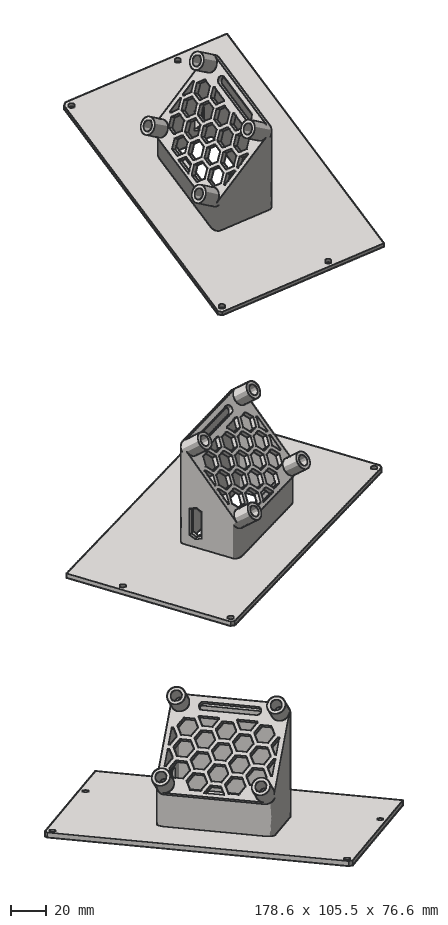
import cadquery as cq
import math

PLATE_LENGTH = 178.6
PLATE_WIDTH = 105.5
PLATE_THICKNESS = 3.0
PLATE_CORNER_CHAMFER = 1.8
PLATE_HOLE_DIAMETER = 3.5
PLATE_HOLE_X = 85.5
PLATE_HOLE_FRONT_Y = -49.1
PLATE_HOLE_REAR_Y = 19.1

TOTAL_HEIGHT = 76.6
SLOPE = 50.0
POST_DIAMETER = 10.5
POST_BORE = 6.5
POST_LENGTH = 14.1
POST_SPACING_X = 58.0
POST_SPACING_SLOPE = 49.0
LID_WIDTH = POST_SPACING_X + POST_DIAMETER
LID_LENGTH = POST_SPACING_SLOPE + POST_DIAMETER
LID_CORNER_RADIUS = POST_DIAMETER / 2
LID_THICKNESS = 3.0
LID_CENTER_X = 2.0
LID_REAR_Y = 12.5

WALL = 3.0

HEX_PITCH = 12.9
HEX_ACROSS_FLATS = 10.4
HEX_OFFSET = -2.1
CELL_ROWS = ((-2, 1), (-2, 1), (-1, 1), (-1, 0))
GRILLE_MARGIN = 3.0
GRILLE_BOTTOM_MARGIN = 2.1
GRILLE_TOP_MARGIN = 12.0

LID_SLOT_LENGTH = 36.0
LID_SLOT_WIDTH = 5.0
LID_SLOT_TOP_DISTANCE = 5.9

SIDE_SLOT_WIDTH = 6.0
SIDE_SLOT_HEIGHT = 19.5
SIDE_SLOT_TIP = 1.8
SIDE_SLOT_FLARE = 0.9
SIDE_SLOT_Y = 1.3
SIDE_SLOT_Z = 19.1

HEX_COS = math.cos(math.pi / 6)

slope_angle = math.radians(SLOPE)
slope_cos = math.cos(slope_angle)
slope_sin = math.sin(slope_angle)

housing_depth = LID_LENGTH * slope_cos
housing_center_y = LID_REAR_Y - housing_depth / 2
lid_center_z = TOTAL_HEIGHT - POST_LENGTH * slope_cos - LID_LENGTH / 2 * slope_sin

lid_plane = cq.Plane(
    origin=(LID_CENTER_X, housing_center_y, lid_center_z),
    xDir=(1, 0, 0),
    normal=(0, -slope_sin, slope_cos),
)
post_centers = [
    (sx * POST_SPACING_X / 2, sy * POST_SPACING_SLOPE / 2) for sx in (-1, 1) for sy in (-1, 1)
]


def make_plate():
    plate = cq.Workplane("XY").box(
        PLATE_LENGTH, PLATE_WIDTH, PLATE_THICKNESS, centered=(True, True, False)
    )
    plate = plate.faces("<Y").edges("|Z").chamfer(PLATE_CORNER_CHAMFER)
    hole_centers = [
        (sx * PLATE_HOLE_X, y) for sx in (-1, 1) for y in (PLATE_HOLE_FRONT_Y, PLATE_HOLE_REAR_Y)
    ]
    holes = (
        cq.Workplane("XY")
        .pushPoints(hole_centers)
        .circle(PLATE_HOLE_DIAMETER / 2)
        .extrude(PLATE_THICKNESS)
    )
    return plate.cut(holes)


def lid_face(inset):
    """Rounded face on the lid underside, set in so that walls hanging from it are `inset` thick."""
    width = LID_WIDTH - 2 * inset
    length = LID_LENGTH - 2 * inset / slope_cos
    outline = cq.Sketch().rect(width, length).vertices().fillet(LID_CORNER_RADIUS - inset)
    return outline.reset().faces().val().moved(cq.Location(lid_plane))


def make_lid():
    return cq.Workplane(cq.Solid.extrudeLinear(lid_face(0), lid_plane.zDir * LID_THICKNESS))


def make_column(inset):
    """Sweep the lid face straight down from the lid underside to the bottom of the plate."""
    column = cq.Solid.extrudeLinear(lid_face(inset), cq.Vector(0, 0, -TOTAL_HEIGHT))
    above_ground = cq.Workplane("XY").rect(PLATE_LENGTH, PLATE_WIDTH).extrude(TOTAL_HEIGHT)
    return above_ground.intersect(cq.Workplane(column))


def make_posts():
    return (
        cq.Workplane(lid_plane)
        .pushPoints(post_centers)
        .circle(POST_DIAMETER / 2)
        .extrude(POST_LENGTH)
    )


def make_post_bores():
    """Blind bores that end flush with the outer face of the lid."""
    return (
        cq.Workplane(lid_plane)
        .workplane(offset=LID_THICKNESS)
        .pushPoints(post_centers)
        .circle(POST_BORE / 2)
        .extrude(POST_LENGTH - LID_THICKNESS)
    )


def make_grille():
    """Hexagonal openings, trimmed by the rectangular window of the grille."""
    column_spacing = HEX_PITCH * HEX_COS
    centers = []
    last_column = len(CELL_ROWS) - 1
    for column in range(-last_column, last_column + 1):
        lowest, highest = CELL_ROWS[abs(column)]
        shift = HEX_PITCH / 2 * (column % 2)
        for row in range(lowest, highest + 1):
            centers.append((column * column_spacing, HEX_OFFSET + shift + row * HEX_PITCH))
    hexagons = (
        cq.Workplane(lid_plane)
        .pushPoints(centers)
        .polygon(6, HEX_ACROSS_FLATS / HEX_COS)
        .extrude(LID_THICKNESS)
    )
    bottom = -LID_LENGTH / 2 + GRILLE_BOTTOM_MARGIN
    top = LID_LENGTH / 2 - GRILLE_TOP_MARGIN
    window = (
        cq.Workplane(lid_plane)
        .center(0, (bottom + top) / 2)
        .rect(LID_WIDTH - 2 * GRILLE_MARGIN, top - bottom)
        .extrude(LID_THICKNESS)
    )
    return hexagons.intersect(window)


def make_lid_slot():
    return (
        cq.Workplane(lid_plane)
        .center(0, LID_LENGTH / 2 - LID_SLOT_TOP_DISTANCE)
        .slot2D(LID_SLOT_LENGTH, LID_SLOT_WIDTH)
        .extrude(LID_THICKNESS)
    )


def side_slot_outline(growth):
    half_width = SIDE_SLOT_WIDTH / 2 + growth
    half_height = SIDE_SLOT_HEIGHT / 2 + growth
    shoulder = half_height - SIDE_SLOT_TIP
    return [
        (half_width, -shoulder),
        (half_width, shoulder),
        (0, half_height),
        (-half_width, shoulder),
        (-half_width, -shoulder),
        (0, -half_height),
    ]


def make_side_slot():
    outer_x = LID_CENTER_X - LID_WIDTH / 2
    start = cq.Workplane("YZ", origin=(outer_x, SIDE_SLOT_Y, SIDE_SLOT_Z))
    straight = start.polyline(side_slot_outline(0)).close().extrude(WALL)
    flare = (
        start.polyline(side_slot_outline(SIDE_SLOT_FLARE))
        .close()
        .workplane(offset=SIDE_SLOT_FLARE)
        .polyline(side_slot_outline(0))
        .close()
        .loft(ruled=True)
    )
    return straight.union(flare)


result = (
    make_plate()
    .union(make_column(0))
    .cut(make_column(WALL))
    .cut(make_side_slot())
    .union(make_lid())
    .union(make_posts())
    .cut(make_post_bores())
    .cut(make_grille())
    .cut(make_lid_slot())
)